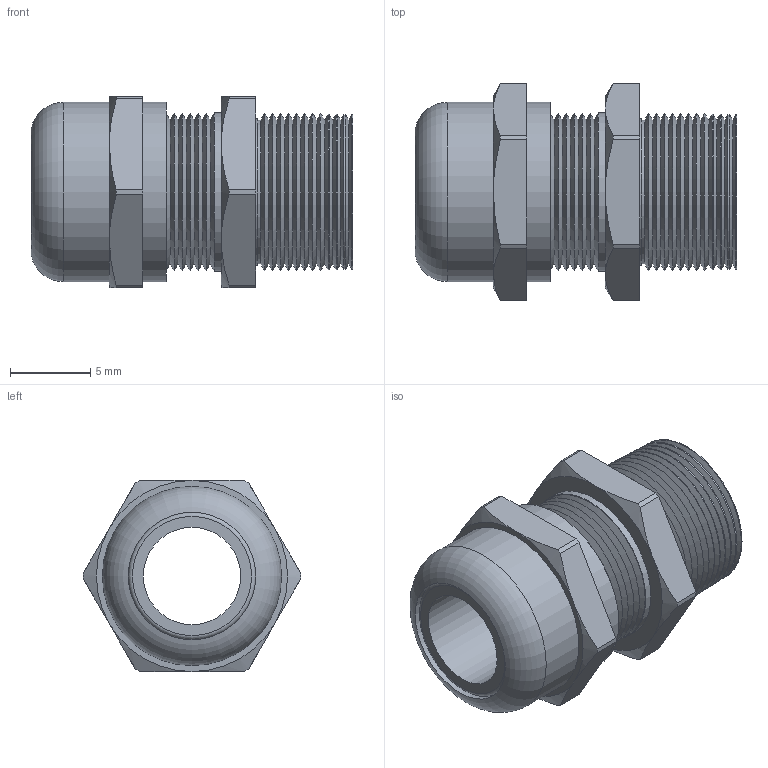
import cadquery as cq
import math


total_length = 20.115
bore_radius = 3.04

across_flats = 11.94
corner_radius = 6.807

cap_radius = 5.6
cap_length = 8.46
dome_radius = 2.04
cap_opening_radius = 3.98
cap_hex_start = 4.92
cap_hex_width = 2.08
cap_chamfer_angle = 27.0

nose_start = 0.26
nose_rounding = 0.26

pitch = 0.5
flank_angle = 30.0
thread_radius = 4.92
ridge_height = pitch / 2 / math.tan(math.radians(flank_angle))
root_radius = thread_radius - ridge_height

middle_grooves = 6
collar_start = cap_length + middle_grooves * pitch
collar_radius = 4.97
flange_start = 11.91
flange_width = 2.14
flange_chamfer_angle = 30.0
flange_end = flange_start + flange_width

rear_grooves = 12
neck_radius = 4.58
neck_length = 0.14
neck_end = flange_end + neck_length
taper_length = 3.2
taper_end_radius = 4.82


def cylinder(start, end, radius):
    return cq.Workplane("YZ", origin=(start, 0, 0)).circle(radius).extrude(end - start)


def revolve_about_x(profile):
    return profile.close().revolve(360, (0, 0, 0), (1, 0, 0))


def cone(start, end, start_radius, end_radius):
    """Solid cone frustum along X."""
    profile = cq.Workplane("XY").moveTo(start, 0).lineTo(start, start_radius)
    return revolve_about_x(profile.lineTo(end, end_radius).lineTo(end, 0))


def hexagon(start, width, chamfer_angle):
    """Hexagon with two flats facing +Z and -Z, its corners turned down and its front edge chamfered."""
    flat_radius = across_flats / 2
    corner_diameter = across_flats / math.cos(math.radians(30))
    prism = cq.Workplane("YZ", origin=(start, 0, 0)).polygon(6, corner_diameter).extrude(width)
    end = start + width
    cone_end_radius = flat_radius + width / math.tan(math.radians(chamfer_angle))
    return prism.intersect(cylinder(start, end, corner_radius)).intersect(
        cone(start, end, flat_radius, cone_end_radius)
    )


def thread_groove(center):
    """Ring with a V section that leaves sharp crests half a pitch to each side of its center."""
    profile = cq.Workplane("XY").moveTo(center, root_radius)
    profile = profile.lineTo(center - pitch / 2, thread_radius).lineTo(center + pitch / 2, thread_radius)
    return revolve_about_x(profile)


def build_cap():
    mid_x = dome_radius * (1 - math.sqrt(0.5))
    dome = cq.Workplane("XY").lineTo(0, cap_radius - dome_radius)
    dome = dome.threePointArc((mid_x, cap_radius - mid_x), (dome_radius, cap_radius))
    cap = revolve_about_x(dome.lineTo(cap_length, cap_radius).lineTo(cap_length, 0))
    cap = cap.union(hexagon(cap_hex_start, cap_hex_width, cap_chamfer_angle))
    cap = cap.cut(cylinder(0, dome_radius, cap_opening_radius))
    return cap.cut(cylinder(dome_radius, cap_length, thread_radius))


def build_body():
    body = cylinder(nose_start, dome_radius, cap_opening_radius).faces("<X").edges().fillet(nose_rounding)

    body = body.union(cylinder(dome_radius, collar_start, thread_radius))
    body = body.union(cylinder(collar_start, flange_start, collar_radius))
    body = body.union(hexagon(flange_start, flange_width, flange_chamfer_angle))
    for i in range(middle_grooves):
        body = body.cut(thread_groove(cap_length + (i + 0.5) * pitch))

    first_groove = total_length - (rear_grooves - 0.5) * pitch
    taper_start = total_length - taper_length
    rear = cylinder(flange_end, neck_end, neck_radius)
    rear = rear.union(cylinder(neck_end, first_groove, root_radius))
    rear = rear.union(cylinder(first_groove, taper_start, thread_radius))
    rear = rear.union(cone(taper_start, total_length, thread_radius, taper_end_radius))
    for i in range(rear_grooves):
        rear = rear.cut(thread_groove(first_groove + i * pitch))

    return body.union(rear).cut(cylinder(0, total_length, bore_radius))


cap = build_cap()
body = build_body()

result = cq.Compound.makeCompound([cap.val(), body.val()])